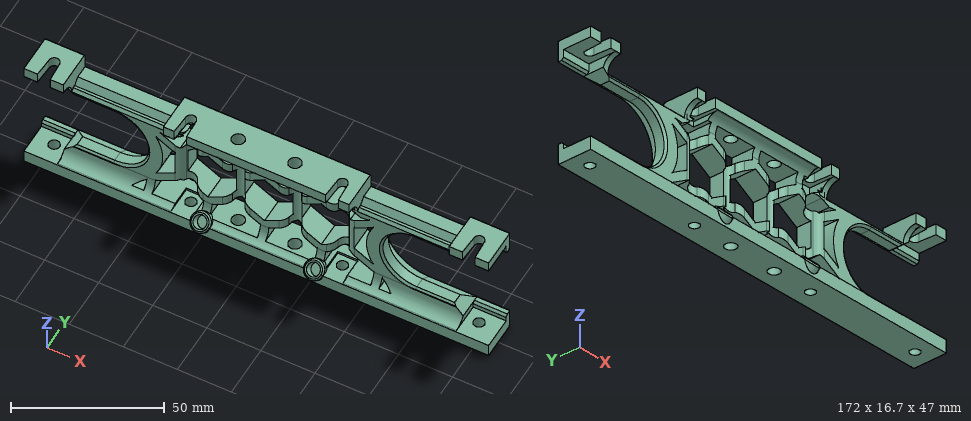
import cadquery as cq
import math

length = 172.0
height = 47.0
plate_depth = 14.8
web_depth = 9.1
back_chamfer = 0.5

rail_top = 5.2
cove_radius = 5.2
tab_bottom = height - 4.1
arm_top = 40.8
arm_flat_depth = 5.0
arm_step_depth = 7.0
arm_step_z = 38.5
arm_chamfer = 1.0
end_tab_length = 14.6
middle_tab_length = 68.8

mouth_x = 55.9
mouth_z = 23.4
mouth_radius = 12.5
mouth_back_radius = 16.0
mouth_cone_depth = 4.5
mouth_front_chamfer = 0.9

cell_pitch = 21.0
strut_width = 3.3
hexagon_turn = 30.0
outer_cell = 2
post_width = 3.1
window_floor = 6.0
ring_radius = 18.2

window_toe_x = 47.8
window_toe_top = 9.6
window_side_x = 43.0
window_shoulder_x = 40.8
window_shoulder_z = 35.8
window_haunch_x = 35.6
window_haunch_z = 35.0
window_neck_x = 32.0
window_neck_z = 37.0
window_top_x = 28.2

screw_depth = 7.7
end_screw_x = 78.5
slot_screw_x = 28.0
plain_screw_x = cell_pitch / 2
slot_screw_hole = 4.0
plain_screw_hole = 4.6
slot_width = 3.8
slot_mouth_width = 4.6
end_room_half_width = 4.8
slot_room_half_width = 3.8
lip_depth = 3.0
lip_half_gap = 15.6
lip_chamfer = 0.9
web_end_x = 69.8
groove_half_width = 5.2
groove_lip_radius = 3.3
groove_lip_middle_angle = 30.0
groove_shoulder_depth = 6.9
groove_bottom_depth = 5.5

socket_x = cell_pitch
socket_face_depth = 14.5
socket_face_z = 6.0
socket_diameter = 7.4
socket_chamfer = 0.6
socket_length = 6.9
socket_bore = 4.8
socket_bore_depth = 4.3
socket_tilt = 45.0

end_overshoot = 3.5


def box(x_min, x_max, depth_min, depth_max, z_min, z_max):
    size = (x_max - x_min, depth_max - depth_min, z_max - z_min)
    return cq.Workplane("XY").box(*size, centered=False).translate((x_min, -depth_max, z_min))


def run_along_x(outline, x_min, x_max):
    """Close a (y, z) outline and run it along X."""
    return outline.close().extrude(x_max - x_min).translate((x_min, 0, 0))


def both_ends(solid):
    """Join a left-hand shape with its mirror image on the right."""
    return solid.union(solid.mirror("YZ"))


def cove_middle(center_y, center_z, z_sign):
    """Middle point of a concave quarter arc facing the web."""
    reach = cove_radius * math.sqrt(0.5)
    return (center_y + reach, center_z + z_sign * reach)


def rail_and_arm():
    cove_y = -web_depth - cove_radius
    cove_z = rail_top + cove_radius
    outline = (
        cq.Workplane("YZ")
        .moveTo(0, 0)
        .lineTo(-plate_depth, 0)
        .lineTo(-plate_depth, rail_top)
        .lineTo(cove_y, rail_top)
        .threePointArc(cove_middle(cove_y, cove_z, -1), (-web_depth, cove_z))
        .lineTo(-web_depth, arm_step_z - arm_chamfer)
        .lineTo(-web_depth + arm_chamfer, arm_step_z)
        .lineTo(-arm_step_depth, arm_step_z)
        .lineTo(-arm_flat_depth, arm_top)
        .lineTo(0, arm_top)
    )
    return run_along_x(outline, -length / 2, length / 2)


def tab(x_min, x_max):
    cove_y = -web_depth - cove_radius
    cove_z = tab_bottom - cove_radius
    outline = (
        cq.Workplane("YZ")
        .moveTo(0, height)
        .lineTo(-plate_depth, height)
        .lineTo(-plate_depth, tab_bottom)
        .lineTo(cove_y, tab_bottom)
        .threePointArc(cove_middle(cove_y, cove_z, 1), (-web_depth, cove_z))
        .lineTo(-web_depth, mouth_z)
        .lineTo(0, mouth_z)
    )
    return run_along_x(outline, x_min, x_max)


def back_edge_envelope():
    """Outer block with its back edges chamfered, used to trim the body."""
    block = box(-length / 2, length / 2, 0, plate_depth, 0, height)
    return block.faces(">Y").edges().chamfer(back_chamfer)


def mouth():
    """Open-ended round cut, coned at the back and chamfered at the front."""
    chamfer_start = web_depth - mouth_front_chamfer
    profile = [
        (0, mouth_back_radius),
        (-mouth_cone_depth, mouth_radius),
        (-chamfer_start, mouth_radius),
        (-web_depth, mouth_radius + mouth_front_chamfer),
    ]
    half = [(0, 0)] + profile + [(-web_depth, 0)]
    full = profile + [(y, -z) for y, z in reversed(profile)]
    run = length / 2 - mouth_x + end_overshoot
    round_end = cq.Workplane("YZ").polyline(half).close().revolve(360, (0, 0), (1, 0))
    straight = cq.Workplane("YZ").polyline(full).close().extrude(-run)
    return round_end.union(straight).translate((-mouth_x, 0, mouth_z))


def hexagon_frame(center_x):
    """One hexagonal cell wall, shared half-and-half with its neighbours."""
    corner_per_flat = 2 / math.sqrt(3)
    outer = (cell_pitch + strut_width) * corner_per_flat
    inner = (cell_pitch - strut_width) * corner_per_flat
    frame = cq.Workplane("XZ").polygon(6, outer).polygon(6, inner).extrude(plate_depth)
    upright = frame.rotate((0, 0, 0), (0, 1, 0), hexagon_turn)
    return upright.translate((center_x, 0, mouth_z))


def lattice():
    cell_radius = cell_pitch / math.sqrt(3)
    bars = None
    for index in range(-outer_cell, outer_cell + 1):
        x = index * cell_pitch
        cell = hexagon_frame(x)
        bars = cell if bars is None else bars.union(cell)
        x_range = (x - post_width / 2, x + post_width / 2)
        bars = bars.union(box(*x_range, 0, plate_depth, 0, mouth_z - cell_radius))
        bars = bars.union(box(*x_range, 0, plate_depth, mouth_z + cell_radius, height))
    return bars


def windows():
    """Through openings of the web: the open area less the lattice and the mouth rings."""
    half_outline = [
        (window_toe_x, window_floor),
        (window_side_x, window_toe_top),
        (window_side_x, window_shoulder_z),
        (window_shoulder_x, window_shoulder_z),
        (window_haunch_x, window_haunch_z),
        (window_neck_x, window_neck_z),
        (window_top_x, arm_top),
    ]
    outline = half_outline + [(-x, z) for x, z in reversed(half_outline)]
    area = cq.Workplane("XZ").polyline(outline).close().extrude(plate_depth)
    rings = cq.Workplane("XZ").pushPoints([(-mouth_x, mouth_z), (mouth_x, mouth_z)])
    rings = rings.circle(ring_radius).extrude(plate_depth)
    return area.cut(rings).cut(lattice())


def end_clearance():
    """Screw-head room at an end, behind it a low lip and beside it a sloped web end."""
    wall_x = end_room_half_width - end_screw_x
    room = box(-length / 2, wall_x, lip_depth, plate_depth, rail_top, tab_bottom)
    gap_profile = [
        (-length / 2, lip_half_gap),
        (wall_x, lip_half_gap),
        (-web_end_x, mouth_radius),
        (-web_end_x, -mouth_radius),
        (wall_x, -lip_half_gap),
        (-length / 2, -lip_half_gap),
    ]
    gap = cq.Workplane("XZ").polyline(gap_profile).close().extrude(plate_depth)
    gap = gap.translate((0, 0, mouth_z))
    bevel_half_gap = lip_half_gap + lip_chamfer
    bevel_profile = [
        (-lip_depth, bevel_half_gap),
        (-lip_depth + lip_chamfer, lip_half_gap),
        (-lip_depth + lip_chamfer, -lip_half_gap),
        (-lip_depth, -bevel_half_gap),
    ]
    bevel = cq.Workplane("YZ").polyline(bevel_profile).close().extrude(wall_x + length / 2)
    bevel = bevel.translate((-length / 2, 0, mouth_z))
    return room.union(gap).union(bevel)


def slot_clearance():
    """Rectangular screw-head rooms above the rail and under the tab, open to the front."""
    x_range = (-slot_screw_x - slot_room_half_width, -slot_screw_x + slot_room_half_width)
    back = screw_depth - slot_room_half_width
    low_room = box(*x_range, back, plate_depth, rail_top, mouth_z - lip_half_gap)
    high_room = box(*x_range, back, plate_depth, mouth_z + lip_half_gap, tab_bottom)
    return low_room.union(high_room)


def strut_groove(screw_x):
    """Groove along a screw line in the front of the struts, with rounded lips."""
    lip_center_x = groove_half_width
    lip_center_y = groove_lip_radius - web_depth
    lip_drop = lip_center_y + groove_shoulder_depth
    shoulder_x = lip_center_x - math.sqrt(groove_lip_radius**2 - lip_drop**2)
    lip_middle_x = lip_center_x - groove_lip_radius * math.sin(math.radians(groove_lip_middle_angle))
    lip_middle_y = lip_center_y - groove_lip_radius * math.cos(math.radians(groove_lip_middle_angle))
    outline = (
        cq.Workplane("XY")
        .moveTo(-groove_half_width, -web_depth)
        .threePointArc((-lip_middle_x, lip_middle_y), (-shoulder_x, -groove_shoulder_depth))
        .threePointArc((0, -groove_bottom_depth), (shoulder_x, -groove_shoulder_depth))
        .threePointArc((lip_middle_x, lip_middle_y), (groove_half_width, -web_depth))
        .close()
    )
    groove = outline.extrude(arm_top - window_floor)
    return groove.translate((-screw_x, 0, window_floor))


def screw_hole(x, diameter, top):
    hole = cq.Workplane("XY").circle(diameter / 2).extrude(top)
    return hole.translate((-x, -screw_depth, 0))


def tab_slot(x):
    """Slot in a tab, round at the screw and widening to the front."""
    front = screw_depth - plate_depth
    outline = (
        cq.Workplane("XY")
        .moveTo(-slot_mouth_width / 2, front)
        .lineTo(-slot_width / 2, 0)
        .threePointArc((0, slot_width / 2), (slot_width / 2, 0))
        .lineTo(slot_mouth_width / 2, front)
        .close()
    )
    slot = outline.extrude(height - tab_bottom)
    return slot.translate((-x, -screw_depth, tab_bottom))


def socket_shape(diameter, depth):
    """Cylinder sunk from the tilted socket face."""
    tilt = math.radians(socket_tilt)
    plane = cq.Plane(
        origin=(-socket_x, -socket_face_depth, socket_face_z),
        xDir=(1, 0, 0),
        normal=(0, -math.cos(tilt), math.sin(tilt)),
    )
    return cq.Workplane(plane).circle(diameter / 2).extrude(-depth)


def socket_boss():
    boss = socket_shape(socket_diameter, socket_length)
    boss = boss.faces(">(0, -1, 1)").chamfer(socket_chamfer)
    return boss.intersect(box(-length / 2, length / 2, 0, 2 * plate_depth, 0, height))


body = rail_and_arm()
body = body.union(tab(-middle_tab_length / 2, middle_tab_length / 2))
body = body.union(both_ends(tab(-length / 2, -length / 2 + end_tab_length)))
body = body.intersect(back_edge_envelope())

body = body.cut(both_ends(mouth())).cut(windows())
body = body.cut(both_ends(end_clearance())).cut(both_ends(slot_clearance()))
for screw_x in (plain_screw_x, slot_screw_x):
    body = body.cut(both_ends(strut_groove(screw_x)))

body = body.cut(both_ends(screw_hole(plain_screw_x, plain_screw_hole, height)))
for screw_x in (end_screw_x, slot_screw_x):
    body = body.cut(both_ends(screw_hole(screw_x, slot_screw_hole, rail_top)))
    body = body.cut(both_ends(tab_slot(screw_x)))

body = body.union(both_ends(socket_boss()))
result = body.cut(both_ends(socket_shape(socket_bore, socket_bore_depth)))